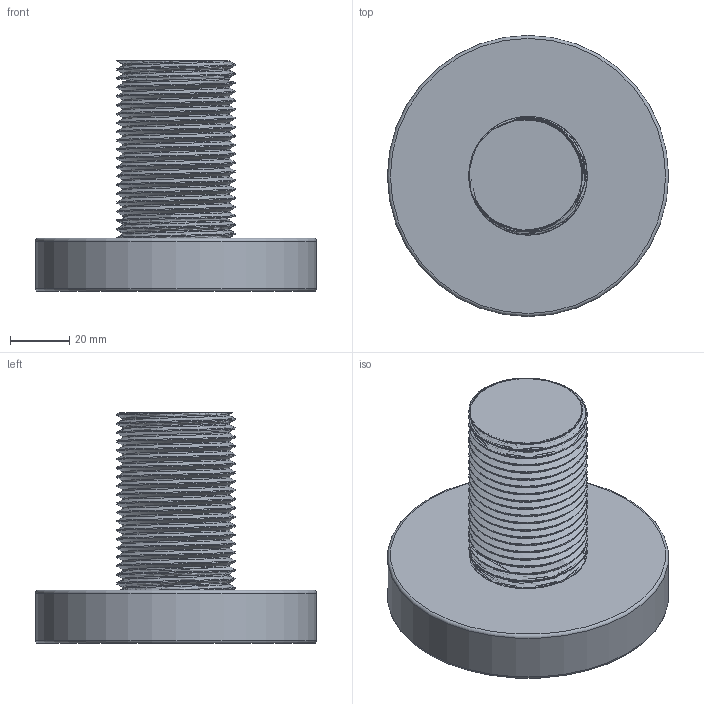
import cadquery as cq
import math

HEAD_DIAMETER = 95.0
HEAD_HEIGHT = 18.0
HEAD_EDGE_FILLET = 1.0

MAJOR_DIAMETER = 40.0
ROOT_DIAMETER = 36.33
PITCH = 3.0
THREAD_LENGTH = 60.0
FLANK_HALF_ANGLE = math.radians(30.0)
CREST_FLAT = PITCH / 8

RIDGE_OVERLAP = 0.15
RUN_OUT = 1.5 * PITCH

MAJOR_RADIUS = MAJOR_DIAMETER / 2
ROOT_RADIUS = ROOT_DIAMETER / 2


def cylinder(radius, bottom_z, height):
    """Vertical cylinder on the Z axis."""
    return cq.Workplane("XY").workplane(offset=bottom_z).circle(radius).extrude(height)


def make_head():
    """Disc with both rims rounded."""
    disc = cylinder(HEAD_DIAMETER / 2, 0, HEAD_HEIGHT)
    return disc.edges("%CIRCLE").fillet(HEAD_EDGE_FILLET)


def make_ridge():
    """Helical ridge whose crest meets the free end on the -X side."""
    start_z = HEAD_HEIGHT - RUN_OUT
    climb = THREAD_LENGTH + 2 * RUN_OUT
    base_radius = ROOT_RADIUS - RIDGE_OVERLAP
    crest_half = CREST_FLAT / 2
    base_half = crest_half + (MAJOR_RADIUS - base_radius) * math.tan(FLANK_HALF_ANGLE)

    helix = cq.Wire.makeHelix(PITCH, climb, ROOT_RADIUS).translate(cq.Vector(0, 0, start_z))
    profile = cq.Workplane("XZ").polyline(
        [
            (base_radius, start_z - base_half),
            (MAJOR_RADIUS, start_z - crest_half),
            (MAJOR_RADIUS, start_z + crest_half),
            (base_radius, start_z + base_half),
        ]
    )
    return profile.close().sweep(cq.Workplane(helix), isFrenet=True)


def make_shank():
    """Core plus ridge, built overlong and trimmed flat between the head and the free end."""
    core = cylinder(ROOT_RADIUS, HEAD_HEIGHT - RUN_OUT, THREAD_LENGTH + 2 * RUN_OUT)
    envelope = cylinder(HEAD_DIAMETER / 2, HEAD_HEIGHT, THREAD_LENGTH)
    return core.union(make_ridge()).intersect(envelope)


result = make_head().union(make_shank())